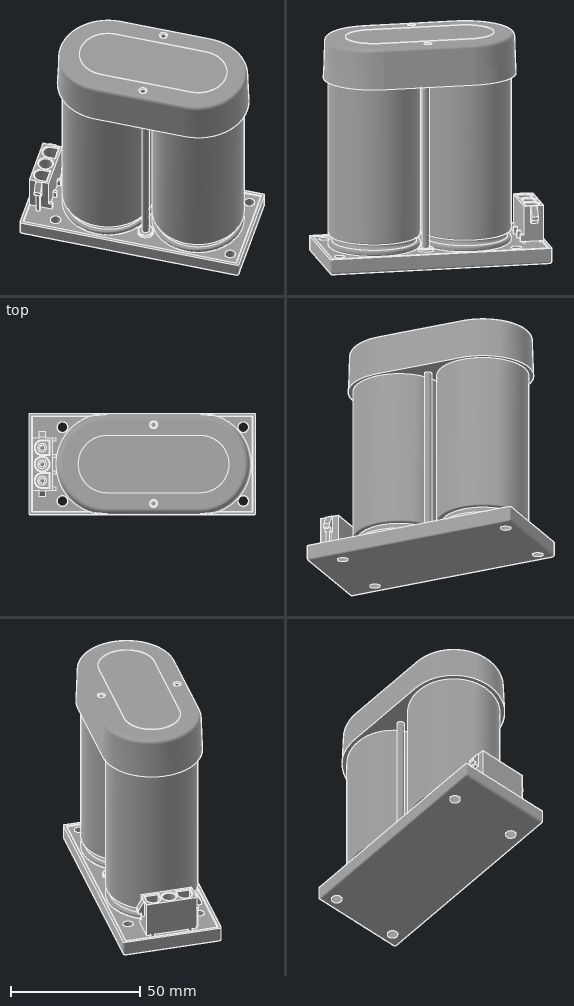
import cadquery as cq
import math

base_length = 87.6
base_width = 39.3
base_height = 6.3
base_corner_round = 0.7
base_bottom_round = 1.0
rim_width = 1.1
rim_bevel = 0.3
rim_depth = 0.3
floor_z = base_height - rim_depth

mount_hole_diameter = 4.0
mount_hole_x = 4.1
mount_pitch_x = 69.9
mount_pitch_y = 28.5

pack_x = 4.4
can_radius = 17.9
can_pitch = 35.9
can_body_z = 10.6
can_body_round = 0.6
can_foot_z = 8.2
can_foot_round = 0.8
groove_radius = 15.8
groove_waist_z = 9.6
groove_upper_radius = 16.1
groove_lower_radius = 16.45

total_height = 89.4
cap_centre_pitch = 36.1
cap_bottom_z = 72.9
cap_radius = 19.7
cap_draft = 2.0
cap_round = 2.0
cap_height = total_height - cap_bottom_z
label_radius = 11.1
label_depth = 0.2

rod_x = 4.5
rod_radius = 1.4
rod_y = 11.5
washer_radius = 3.0
washer_top_z = 7.15
washer_chamfer = 0.4

cap_hole_y = 15.2
cap_hole_radius = 1.1
cap_hole_depth = 2.7
countersink = 0.45

body_left_x = -42.5
body_thickness = 7.7
body_width = 20.2
body_bottom_z = 7.1
body_top_z = 21.1
body_right_x = body_left_x + body_thickness
foot_thickness = 0.9
foot_width = 1.6
foot_y = 7.5
rib_reach = 1.4
rib_top_z = 9.7
rib_width = 1.2
rib_count = 4
rib_pitch = (body_width - rib_width) / (rib_count - 1)

way_pitch = 6.35
way_count = 3
way_x = -38.7
way_radius = 2.7
way_floor_z = 9.8
way_bevel = 0.4
pin_collar_radius = 1.7
pin_collar_height = 0.9
pin_radius = 1.0
pin_dome_z = 14.3

latch_x = -38.6
latch_width = 2.5
latch_shoulder = 0.4
latch_root = 1.3
latch_tip = 2.5
latch_tip_top_z = 17.3
latch_tip_bottom_z = 15.8
latch_bottom_z = 14.5
leg_x = -38.7
leg_width = 1.4


def block(x0, x1, y0, y1, z0, z1):
    """Box given by its limits along X, Y and Z."""
    return cq.Workplane("XY").box(x1 - x0, y1 - y0, z1 - z0, centered=False).translate((x0, y0, z0))


def post(x, y, radius, z0, z1):
    """Upright cylinder between two heights."""
    return cq.Workplane("XY").center(x, y).circle(radius).extrude(z1 - z0).translate((0, 0, z0))


def make_base():
    """Tray with rounded lower edges and a shallow bevelled recess inside its rim."""
    base = cq.Workplane("XY").box(base_length, base_width, base_height, centered=(True, True, False))
    base = base.edges("|Z").fillet(base_corner_round)
    base = base.faces("<Z").edges().fillet(base_bottom_round)
    bevel_angle = math.degrees(math.atan2(rim_bevel, rim_depth))
    tray = (
        cq.Workplane("XY", origin=(0, 0, base_height))
        .rect(base_length - 2 * rim_width, base_width - 2 * rim_width)
        .extrude(-rim_depth, taper=bevel_angle)
    )
    return base.cut(tray)


def waist_arc_radius(end_radius, end_z):
    """Radius of the arc that leaves the groove waist upright and passes through the given end."""
    step_out = end_radius - groove_radius
    step_along = end_z - groove_waist_z
    return (step_out**2 + step_along**2) / (2 * step_out)


def make_can(x):
    """Can with a rounded groove above its foot, turned about its own axis."""
    lower_arc = waist_arc_radius(groove_lower_radius, can_foot_z)
    upper_arc = waist_arc_radius(groove_upper_radius, can_body_z)
    profile = (
        cq.Workplane("XZ")
        .moveTo(0, floor_z)
        .lineTo(can_radius - can_foot_round, floor_z)
        .radiusArc((can_radius, floor_z + can_foot_round), -can_foot_round)
        .lineTo(can_radius, can_foot_z - can_foot_round)
        .radiusArc((can_radius - can_foot_round, can_foot_z), -can_foot_round)
        .lineTo(groove_lower_radius, can_foot_z)
        .radiusArc((groove_radius, groove_waist_z), lower_arc)
        .radiusArc((groove_upper_radius, can_body_z), upper_arc)
        .lineTo(can_radius - can_body_round, can_body_z)
        .radiusArc((can_radius, can_body_z + can_body_round), -can_body_round)
        .lineTo(can_radius, cap_bottom_z)
        .lineTo(0, cap_bottom_z)
        .close()
    )
    return profile.revolve(360, (0, 0, 0), (0, 1, 0)).translate((x, 0, 0))


def slot_outline(z, radius):
    """Rounded outline with its long axis over both cans."""
    return cq.Workplane("XY", origin=(pack_x, 0, z)).slot2D(cap_centre_pitch + 2 * radius, 2 * radius)


def make_cap():
    """Drafted cap with a rounded top edge and a shallow label recess."""
    cap = slot_outline(cap_bottom_z, cap_radius).extrude(cap_height, taper=cap_draft)
    cap = cap.faces(">Z").edges().fillet(cap_round)
    return cap.cut(slot_outline(total_height, label_radius).extrude(-label_depth))


def make_cap_hole(y):
    """Cutter for a countersunk blind hole."""
    mouth = cq.Workplane("XY", origin=(pack_x, y, total_height)).circle(cap_hole_radius + countersink)
    hole = post(pack_x, y, cap_hole_radius, total_height - cap_hole_depth, total_height)
    return hole.union(mouth.extrude(-countersink, taper=45))


def make_latch():
    """Snap nose on the +Y side of the connector."""
    root_y = body_width / 2
    return (
        cq.Workplane("YZ")
        .moveTo(root_y, body_top_z)
        .lineTo(root_y + latch_shoulder, body_top_z)
        .lineTo(root_y + latch_tip, latch_tip_top_z)
        .lineTo(root_y + latch_tip, latch_tip_bottom_z)
        .lineTo(root_y + latch_root, latch_tip_bottom_z)
        .lineTo(root_y + latch_root, latch_bottom_z)
        .lineTo(root_y, latch_bottom_z)
        .close()
        .extrude(latch_width / 2, both=True)
        .translate((latch_x, 0, 0))
    )


def way_outline(z, y, square, radius):
    """Outline of one contact cavity: round, or D-shaped with square +X corners."""
    outline = cq.Workplane("XY", origin=(way_x, y, z))
    if not square:
        return outline.circle(radius)
    return (
        outline.moveTo(0, radius)
        .threePointArc((-radius, 0), (0, -radius))
        .lineTo(radius, -radius)
        .lineTo(radius, radius)
        .close()
    )


def make_connector():
    """Pin housing standing on the tray, with its ribs, feet, latches and leg."""
    half_width = body_width / 2
    connector = block(body_left_x, body_right_x, -half_width, half_width, body_bottom_z, body_top_z)

    middle = (way_count - 1) / 2
    for i in range(way_count):
        y = (i - middle) * way_pitch
        square = i != middle
        connector = connector.cut(
            way_outline(way_floor_z, y, square, way_radius).extrude(body_top_z - way_floor_z)
        )
        connector = connector.cut(
            way_outline(body_top_z, y, square, way_radius + way_bevel).extrude(-way_bevel, taper=45)
        )
        collar_top_z = way_floor_z + pin_collar_height
        pin = post(way_x, y, pin_radius, way_floor_z, pin_dome_z)
        connector = connector.union(post(way_x, y, pin_collar_radius, way_floor_z, collar_top_z))
        dome = cq.Workplane("XY").sphere(pin_radius).translate((way_x, y, pin_dome_z))
        connector = connector.union(pin.union(dome))

    for i in range(rib_count):
        y = (i - (rib_count - 1) / 2) * rib_pitch
        connector = connector.union(
            block(
                body_right_x,
                body_right_x + rib_reach,
                y - rib_width / 2,
                y + rib_width / 2,
                body_bottom_z,
                rib_top_z,
            )
        )

    for x in (body_left_x, body_right_x - foot_thickness):
        for y in (-foot_y, foot_y):
            connector = connector.union(
                block(x, x + foot_thickness, y - foot_width / 2, y + foot_width / 2, floor_z, body_bottom_z)
            )

    latch = make_latch()
    leg = block(
        leg_x - leg_width / 2,
        leg_x + leg_width / 2,
        -half_width - latch_root,
        -half_width,
        floor_z,
        latch_bottom_z,
    )
    return connector.union(latch).union(latch.mirror("XZ")).union(leg)


result = make_base()
for side in (-1, 1):
    result = result.union(make_can(pack_x + side * can_pitch / 2))
result = result.union(make_cap()).union(make_connector())

for side in (-1, 1):
    rod_at = (rod_x, side * rod_y)
    result = result.union(post(*rod_at, rod_radius, floor_z, cap_bottom_z))
    washer = post(*rod_at, washer_radius, floor_z, washer_top_z).faces(">Z").edges().chamfer(washer_chamfer)
    result = result.union(washer)
    result = result.cut(make_cap_hole(side * cap_hole_y))

for side_x in (-1, 1):
    for side_y in (-1, 1):
        hole_x = mount_hole_x + side_x * mount_pitch_x / 2
        hole_y = side_y * mount_pitch_y / 2
        result = result.cut(post(hole_x, hole_y, mount_hole_diameter / 2, 0, base_height))